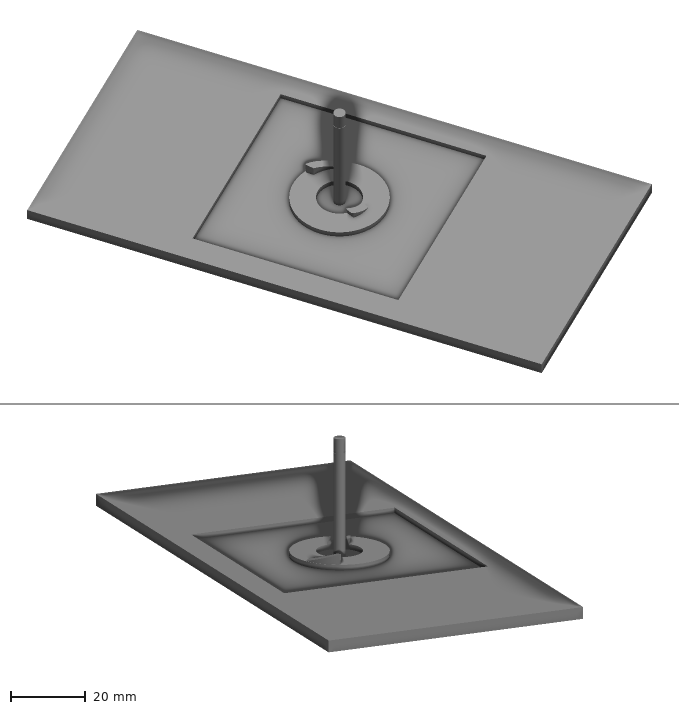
import cadquery as cq
import math

plate_length = 150.0
plate_width = 75.0
plate_thickness = 3.3
total_height = 35.0

recess_side = 60.0
recess_depth = 1.5
ring_outer_radius = 13.5
ring_inner_radius = 6.3

rod_radius = 1.6
groove_width = 0.6
groove_depth = 0.08
groove_top_offset = 3.6

ramp_width = 2.4
outer_ramp_inner_radius = 11.0
outer_ramp_height = 3.0
outer_ramp_high_angle = 160.0
outer_ramp_low_angle = 110.0
inner_ramp_height = 1.8
inner_ramp_high_angle = -48.0
inner_ramp_low_angle = 2.0
ramp_lean = 0.5
ramp_edge_chamfer = 0.3
outer_ramp_end_y = 5.1
ramp_root = 0.9


def tube(outer_radius, inner_radius, bottom, height):
    """Upright tube about the rod axis."""
    return cq.Workplane("XY", origin=(0, 0, bottom)).circle(outer_radius).circle(inner_radius).extrude(height)


def curved_ramp(inner_radius, height, high_angle, low_angle):
    """Arc-shaped wedge that falls from its high end to the ring surface."""
    outer_radius = inner_radius + ramp_width
    middle_angle = (high_angle + low_angle) / 2
    half_span = math.radians(abs(high_angle - low_angle)) / 2
    half_chord = (inner_radius + ramp_width / 2) * math.sin(half_span)
    side = math.copysign(1, high_angle - low_angle)
    wedge = (
        cq.Workplane("YZ")
        .moveTo(-side * half_chord, -ramp_root)
        .lineTo(-side * half_chord, 0)
        .lineTo(side * half_chord, height)
        .lineTo(side * (half_chord - ramp_lean), 0)
        .lineTo(side * (half_chord - ramp_lean), -ramp_root)
        .close()
        .extrude(2 * outer_radius)
        .translate((0, 0, plate_thickness))
    )
    bottom = plate_thickness - ramp_root
    envelope = tube(outer_radius, inner_radius, bottom, height + ramp_root)
    ramp = wedge.intersect(envelope.rotate((0, 0, 0), (0, 0, 1), 180))
    ramp = ramp.faces(">Z").edges("%ELLIPSE").chamfer(ramp_edge_chamfer)
    return ramp.rotate((0, 0, 0), (0, 0, 1), middle_angle)


recess_floor = plate_thickness - recess_depth
plate = cq.Workplane("XY").box(plate_length, plate_width, plate_thickness, centered=(True, True, False))
recess = (
    cq.Workplane("XY", origin=(0, 0, recess_floor))
    .rect(recess_side, recess_side)
    .extrude(recess_depth)
)
ring = tube(ring_outer_radius, ring_inner_radius, recess_floor, recess_depth)

groove_bottom = total_height - groove_top_offset - groove_width
rod = cq.Workplane("XY").circle(rod_radius).extrude(total_height)
rod = rod.cut(tube(rod_radius, rod_radius - groove_depth, groove_bottom, groove_width))

outer_ramp = curved_ramp(
    outer_ramp_inner_radius, outer_ramp_height, outer_ramp_high_angle, outer_ramp_low_angle
)
outer_ramp_trim = cq.Workplane("XY").box(plate_length, plate_width, total_height)
outer_ramp_trim = outer_ramp_trim.translate((0, outer_ramp_end_y - plate_width / 2, 0))
outer_ramp = outer_ramp.cut(outer_ramp_trim)
inner_ramp = curved_ramp(ring_inner_radius, inner_ramp_height, inner_ramp_high_angle, inner_ramp_low_angle)

result = plate.cut(recess).union(ring).union(rod).union(outer_ramp).union(inner_ramp)